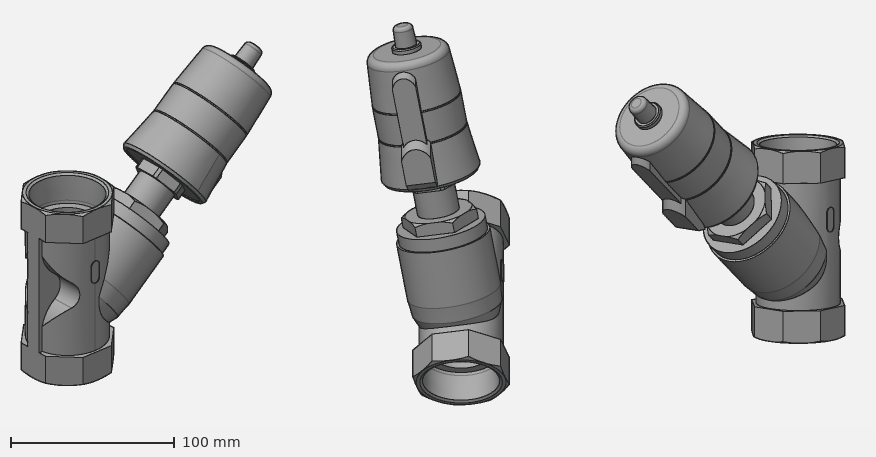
import cadquery as cq
import math


PIPE_LENGTH = 119.7
PIPE_RADIUS = 51.6 / 2
NUT_FLATS = 55.3
NUT_HEIGHT = 20.1
NUT_FACE_RADIUS = 27.5
NUT_CHAMFER = 1.3
BORE_RADIUS = 35.0 / 2

SOCKET_DEPTH = 20.1
SOCKET_RADIUS = 45.5 / 2
THREAD_DEPTH = 18.1
THREAD_END_RADIUS = 23.0
THREAD_START_RADIUS = 23.6
MOUTH_RADIUS = 25.3
MOUTH_DEPTH = 1.1

RIB_WIDTH = 10.8
WAIST_TOP = 91.7
WAIST_BOTTOM = 32.2
WAIST_ROUND = 10.8
WAIST_MIDDLE = (WAIST_TOP + WAIST_BOTTOM) / 2

DIVIDER_CREST = 7.5
DIVIDER_RADIUS = 16.5

PAD_WIDTH = 6.4
PAD_LENGTH = 15.4
PAD_Z = 75.0
PAD_RAISE = 0.4

BRANCH_ANGLE = 40
BRANCH_Z = 38.6

NOSE_END = 0
TAPER_START = 13.7
BONNET_START = 24.2
COLLAR_START = 60.5
BONNET_HEX_START = 68.8
NECK_START = 76.7
SMALL_HEX_START = 95.0
ACTUATOR_START = 101.0
SKIRT_EDGE = 103.0
LOWER_JOINT = 130.1
UPPER_JOINT = 151.0
SHOULDER = 178.5
ACTUATOR_TOP = 183.0
TIP_END = 199.1

BONNET_RADIUS = 58.0 / 2
TAPER_RADIUS = 28.0
NOSE_RADIUS = 22.3
COLLAR_RADIUS = 55.0 / 2
BONNET_HEX_FLATS = 41.0
BONNET_HEX_CHAMFER_RADIUS = 20.9
BONNET_HEX_BEVEL_ANGLE = 30
NECK_RADIUS = 26.0 / 2
SMALL_HEX_FLATS = 30.4
SMALL_HEX_CORNER_RADIUS = 16.8

SKIRT_RADIUS = 61.5 / 2
SKIRT_BOTTOM_RADIUS = 29.5
RECESS_RADIUS = 27.3
RECESS_DEPTH = 0.7
HOUSING_RADIUS = 55.0 / 2
SHOULDER_RADIUS = 25.6
TOP_RADIUS = 20.9
JOINT_WIDTH = 1.0
JOINT_DEPTH = 0.2

RING_RADIUS = 18.1 / 2
RING_HEIGHT = 3.1
RING_CHAMFER = 0.7
TIP_BASE_RADIUS = 6.8
TIP_RADIUS = 6.0
TIP_FILLET = 2.7

LUG_ROOT = 22.9
LONG_LUG_WIDTH = 14.6
LONG_LUG_BOW = 4.5
LONG_LUG_Y = 152.6
LONG_LUG_DROP = 29.3
SHORT_LUG_WIDTH = 18.3
SHORT_LUG_BOW = 5.0
SHORT_LUG_Y = 121.7
SHORT_LUG_DROP = 34.4

COS = math.cos(math.radians(BRANCH_ANGLE))
SIN = math.sin(math.radians(BRANCH_ANGLE))


def cylinder(radius, start, end):
    return cq.Workplane("XY").workplane(offset=start).circle(radius).extrude(end - start)


def regular_prism(sides, flats, start, end):
    return (
        cq.Workplane("XY")
        .workplane(offset=start)
        .polygon(sides, flats / math.cos(math.pi / sides))
        .extrude(end - start)
    )


def revolved(points):
    """Solid of revolution about Z from (radius, height) points that start and end on Z."""
    return cq.Workplane("XZ").polyline(points).close().revolve(360, (0, 0), (0, 1))



def end_nut():
    """Octagonal end at the bottom of the pipe, with its outer corners bevelled."""
    across_corners = NUT_FLATS / math.cos(math.pi / 8)
    corner_radius = across_corners / 2
    bevel = revolved([
        (0, 0),
        (NUT_FACE_RADIUS, 0),
        (corner_radius, NUT_CHAMFER),
        (corner_radius, NUT_HEIGHT),
        (0, NUT_HEIGHT),
    ])
    octagon = regular_prism(8, NUT_FLATS, 0, NUT_HEIGHT).rotate((0, 0, 0), (0, 0, 1), 180 / 8)
    return octagon.intersect(bevel)


def socket():
    """Tapered thread bore at the bottom end, with a bevelled mouth and a plain seat."""
    return revolved([
        (0, 0),
        (MOUTH_RADIUS, 0),
        (THREAD_START_RADIUS, MOUTH_DEPTH),
        (THREAD_END_RADIUS, THREAD_DEPTH),
        (SOCKET_RADIUS, SOCKET_DEPTH),
        (0, SOCKET_DEPTH),
    ])


def at_both_ends(solid):
    """A feature of the bottom end together with its copy at the top end."""
    middle = (0, 0, PIPE_LENGTH / 2)
    return solid.union(solid.mirror("XY", middle))


def waist():
    """Space outside the pinched waist on the -Y side of the pipe.

    Two convex arcs, as large as the pipe radius, curve in from the pipe surface and a
    concave arc joins them.
    """
    half_height = (WAIST_TOP - WAIST_BOTTOM) / 2
    centre_distance = PIPE_RADIUS + WAIST_ROUND
    hollow_y = -math.sqrt(centre_distance**2 - half_height**2)
    tangent_y = hollow_y * PIPE_RADIUS / centre_distance
    tangent_rise = half_height * WAIST_ROUND / centre_distance
    middle_angle = math.atan2(half_height, -hollow_y) / 2
    bend_y = -PIPE_RADIUS * math.cos(middle_angle)
    bend_drop = PIPE_RADIUS * math.sin(middle_angle)
    return (
        cq.Workplane("YZ")
        .moveTo(-PIPE_RADIUS, WAIST_TOP)
        .threePointArc((bend_y, WAIST_TOP - bend_drop), (tangent_y, WAIST_MIDDLE + tangent_rise))
        .threePointArc((hollow_y + WAIST_ROUND, WAIST_MIDDLE), (tangent_y, WAIST_MIDDLE - tangent_rise))
        .threePointArc((bend_y, WAIST_BOTTOM + bend_drop), (-PIPE_RADIUS, WAIST_BOTTOM))
        .lineTo(-NUT_FLATS, WAIST_BOTTOM)
        .lineTo(-NUT_FLATS, WAIST_TOP)
        .close()
        .extrude(PIPE_RADIUS, both=True)
    )


def divider():
    """Rounded wall across the bore behind the waist, made of two quarter arcs."""
    centre_y = -DIVIDER_CREST - DIVIDER_RADIUS
    reach = DIVIDER_RADIUS * math.sqrt(0.5)
    crest = (-DIVIDER_CREST, WAIST_MIDDLE)
    return (
        cq.Workplane("YZ")
        .moveTo(centre_y, WAIST_MIDDLE + DIVIDER_RADIUS)
        .threePointArc((centre_y + reach, WAIST_MIDDLE + reach), crest)
        .threePointArc((centre_y + reach, WAIST_MIDDLE - reach), (centre_y, WAIST_MIDDLE - DIVIDER_RADIUS))
        .close()
        .extrude(PIPE_RADIUS, both=True)
    )


def rib():
    """Web flush with the octagon flats, joining both end nuts."""
    depth = NUT_FLATS / 2
    height = PIPE_LENGTH - 2 * NUT_HEIGHT
    web = cq.Workplane("XY").box(RIB_WIDTH, depth, height, centered=(True, False, False))
    return web.translate((0, -depth, NUT_HEIGHT))


def pads():
    outline = cq.Workplane("YZ").center(0, PAD_Z).slot2D(PAD_LENGTH, PAD_WIDTH, 90)
    return outline.extrude(PIPE_RADIUS + PAD_RAISE, both=True)



def bonnet():
    """Bonnet with a tapered nose, together with its collar."""
    return revolved([
        (0, NOSE_END),
        (NOSE_RADIUS, NOSE_END),
        (TAPER_RADIUS, TAPER_START),
        (BONNET_RADIUS, BONNET_START),
        (BONNET_RADIUS, COLLAR_START),
        (COLLAR_RADIUS, COLLAR_START),
        (COLLAR_RADIUS, BONNET_HEX_START),
        (0, BONNET_HEX_START),
    ])


def bonnet_hex():
    """Hexagon on the bonnet collar, with its upper corners bevelled."""
    corner_radius = BONNET_HEX_FLATS / math.sqrt(3)
    bevel_width = corner_radius - BONNET_HEX_CHAMFER_RADIUS
    bevel_height = bevel_width * math.tan(math.radians(BONNET_HEX_BEVEL_ANGLE))
    bevel = revolved([
        (0, BONNET_HEX_START),
        (corner_radius, BONNET_HEX_START),
        (corner_radius, NECK_START - bevel_height),
        (BONNET_HEX_CHAMFER_RADIUS, NECK_START),
        (0, NECK_START),
    ])
    return regular_prism(6, BONNET_HEX_FLATS, BONNET_HEX_START, NECK_START).intersect(bevel)


def small_hex():
    """Hexagon under the actuator with rounded corners, reaching up into the housing."""
    prism = regular_prism(6, SMALL_HEX_FLATS, SMALL_HEX_START, SHOULDER)
    return prism.intersect(cylinder(SMALL_HEX_CORNER_RADIUS, SMALL_HEX_START, SHOULDER))


def actuator():
    """Tapered housing with a rounded top, a recessed underside and two joint grooves."""
    fillet = SHOULDER_RADIUS - TOP_RADIUS
    fillet_middle = (
        TOP_RADIUS + fillet * math.sqrt(0.5),
        SHOULDER + (ACTUATOR_TOP - SHOULDER) * math.sqrt(0.5),
    )
    housing = (
        cq.Workplane("XZ")
        .moveTo(0, ACTUATOR_START + RECESS_DEPTH)
        .lineTo(RECESS_RADIUS, ACTUATOR_START + RECESS_DEPTH)
        .lineTo(RECESS_RADIUS, ACTUATOR_START)
        .lineTo(SKIRT_BOTTOM_RADIUS, ACTUATOR_START)
        .lineTo(SKIRT_RADIUS, SKIRT_EDGE)
        .lineTo(HOUSING_RADIUS, LOWER_JOINT)
        .lineTo(HOUSING_RADIUS, UPPER_JOINT)
        .lineTo(SHOULDER_RADIUS, SHOULDER)
        .threePointArc(fillet_middle, (TOP_RADIUS, ACTUATOR_TOP))
        .lineTo(0, ACTUATOR_TOP)
        .close()
        .revolve(360, (0, 0), (0, 1))
    )
    for joint in (LOWER_JOINT, UPPER_JOINT):
        start = joint - JOINT_WIDTH / 2
        end = joint + JOINT_WIDTH / 2
        core = cylinder(HOUSING_RADIUS - JOINT_DEPTH, start, end)
        housing = housing.cut(cylinder(SKIRT_RADIUS, start, end).cut(core))
    return housing


def indicator():
    """Tapered tip with a rounded end, standing in a bevelled ring."""
    ring = cylinder(RING_RADIUS, SHOULDER, ACTUATOR_TOP + RING_HEIGHT)
    ring = ring.faces(">Z").edges().chamfer(RING_CHAMFER)
    tip = revolved([
        (0, ACTUATOR_TOP),
        (TIP_BASE_RADIUS, ACTUATOR_TOP),
        (TIP_RADIUS, TIP_END),
        (0, TIP_END),
    ])
    return ring.union(tip.faces(">Z").edges().fillet(TIP_FILLET))


def tilted(solid):
    return solid.rotate((0, 0, 0), (1, 0, 0), BRANCH_ANGLE - 90).translate((0, 0, BRANCH_Z))



def height_below_axis(y, drop):
    """Z of the line parallel to the branch axis and `drop` below it, at a given Y."""
    return BRANCH_Z + (y * SIN - drop) / COS


def lug(width, bow, start_y, end_y, drop):
    """Upright lug with a bowed +Y end, reaching from inside the housing to its sloped underside."""
    profile = [
        (start_y, height_below_axis(start_y, LUG_ROOT)),
        (end_y, height_below_axis(end_y, LUG_ROOT)),
        (end_y, height_below_axis(end_y, drop)),
        (start_y, height_below_axis(start_y, drop)),
    ]
    side = cq.Workplane("YZ").polyline(profile).close().extrude(width / 2, both=True)
    bow_start = end_y - bow
    plan = (
        cq.Workplane("XY")
        .moveTo(-width / 2, start_y)
        .lineTo(-width / 2, bow_start)
        .threePointArc((0, end_y), (width / 2, bow_start))
        .lineTo(width / 2, start_y)
        .close()
        .extrude(height_below_axis(end_y, 0))
    )
    return side.intersect(plan)


def lugs():
    """Long and short lug, both ending level with the lowest point of the skirt edge."""
    skirt_y = SKIRT_EDGE * COS + SKIRT_RADIUS * SIN
    skirt_z = height_below_axis(skirt_y, SKIRT_RADIUS)
    long_lug = lug(LONG_LUG_WIDTH, LONG_LUG_BOW, skirt_y, LONG_LUG_Y, LONG_LUG_DROP)
    short_lug = lug(SHORT_LUG_WIDTH, SHORT_LUG_BOW, skirt_y, SHORT_LUG_Y, SHORT_LUG_DROP)
    below = cylinder(2 * LONG_LUG_Y, 0, skirt_z)
    return long_lug.union(short_lug).cut(below)


pipe = cylinder(PIPE_RADIUS, 0, PIPE_LENGTH).union(pads())

branch = bonnet().union(bonnet_hex()).union(cylinder(NECK_RADIUS, NECK_START, SHOULDER))
branch = branch.union(small_hex()).union(actuator()).union(indicator())

flow_passage = cylinder(BORE_RADIUS, 0, PIPE_LENGTH).cut(divider())
flow_passage = flow_passage.union(at_both_ends(socket()))

result = pipe.union(tilted(branch)).cut(waist()).union(rib())
result = result.union(at_both_ends(end_nut())).union(lugs()).cut(flow_passage)